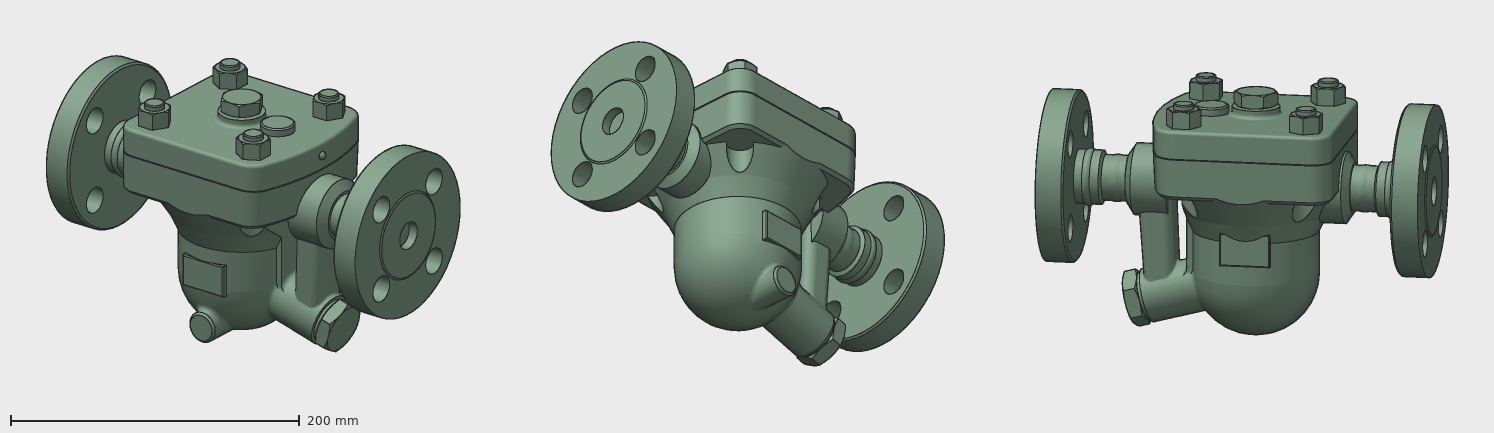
import cadquery as cq
import math


LENGTH = 271.0
FLANGE_DIA = 120.0
FLANGE_THICK = 19.5
FLANGE_CHAMFER = 1.4
FACE_HEIGHT = 0.8
FACE_DIA = 64.0
FACE_TAPER = 1.4
FLANGE_HOLE_DIA = 19.0
FLANGE_HOLE_OFFSET = 30.0
BORE_DIA = 20.0
BORE_DEPTH = 7.0
HUB_DIA = 38.0
HUB_END_X = 97.8
HUB_CHAMFER_LENGTH = 1.5
HUB_BEAD_DIA = 40.0
HUB_BEAD_X = 106.8
HUB_BEAD_WIDTH = 5.5
PIPE_DIA = 32.0
PIPE_BEAD_DIA = 33.0
PIPE_BEAD_X = 87.3
PIPE_BEAD_WIDTH = 6.5
NOZZLE_DIA = 50.0
NOZZLE_ROOT_X = 49.3
NOZZLE_END_X = 74.3
NOZZLE_TIP_DIA = 35.8
NOZZLE_TIP_X = 79.0

BODY_X = -10.0
BODY_RADIUS = 44.2
DOME_Z = -62.3
SHOULDER_Z = -32.2
CONE_BREAK_Z = -18.7
CONE_BREAK_RADIUS = 50.5
CONE_TOP_Z = 5.5
CONE_TOP_RADIUS = 66.0
SLOT_X_MIN = 36.0
SLOT_TOP_Z = 0.8
SLOT_RADIUS = 2.2
RIB_WIDTH = 29.8
RIB_BOTTOM_Z = -67.8

PLATE_WIDTH = 125.0
PLATE_X_MIN = -72.5
PLATE_X_MAX = 60.0
CROWN_RADIUS = 160.0
CROWN_DRAFT = 1.4
CORNER_RADIUS = 14.4
CROWN_CORNER_RADIUS = 16.5
COVER_TOP_Z = 49.5
GASKET_TOP_Z = 30.0
GASKET_THICK = 0.5
GASKET_INSET = 0.3
PLATE_BOTTOM_Z = 0.8
COVER_ROUND = 2.5
PLATE_CHAMFER = 2.5

STUD_OFFSET = 43.0
STUD_DIA = 14.0
STUD_TOP_Z = 65.5
STUD_CHAMFER = 0.8
NUT_DIA = 24.0
NUT_HEIGHT = 12.2
SCALLOP_DIA = 19.0

COLLAR_DIA = 33.0
COLLAR_TOP_Z = 55.5
COLLAR_BASE_DIA = 39.0
PLUG_NECK_DIA = 20.0
PLUG_DIA = 31.0
PLUG_BOTTOM_Z = 56.5
PLUG_TOP_Z = 66.0
BUTTON_DIA = 24.0
BUTTON_X = 21.5
BUTTON_TOP_Z = 55.3
BUTTON_CHAMFER = 1.0
NIPPLE_RADIUS = 3.0
NIPPLE_Z = 40.5

BRANCH_TILT = 15.0
BRANCH_ANGLE = math.radians(BRANCH_TILT)
BRANCH_DIA = 38.0
BRANCH_LENGTH = 78.9
BRANCH_FILLET = 3.3
WASHER_DIA = 33.0
WASHER_THICK = 2.7
BRANCH_PLUG_DIA = 40.0
BRANCH_PLUG_HEIGHT = 10.3

LEG_X = 60.0
LEG_TILT = 3.2
LEG_TAPER = 0.7
LEG_LENGTH = 72.5
LEG_WIDTH = 23.8
LEG_DEPTH = 32.0
LEG_RADIUS = 6.8
LEG_FILLET = 1.5
LEG_FOOT_Z = -63.7

PAD_WIDTH = 35.5
PAD_HEIGHT = 23.3
PAD_TOP_Z = -42.5
PAD_Y = -44.5
PAD_CHAMFER = 0.8
LUG_DIA = 22.2
LUG_Z = -93.0
LUG_END_Y = -46.3
LUG_CHAMFER = 1.5
LUG_FILLET = 3.3
REAR_PAD_TOP_Z = -25.5
REAR_PAD_Y = 45.0

DIAGONAL = math.sqrt(0.5)


def rod(diameter, z_min, z_max):
    """Round bar along Z."""
    return cq.Workplane("XY").workplane(offset=z_min).circle(diameter / 2).extrude(z_max - z_min)


def hexagon(diameter, height, turned_ends, corner_angle=0.0):
    """Hexagon standing on Z = 0, its corners turned off at the selected ends."""
    prism = cq.Workplane("XY").polygon(6, diameter).extrude(height)
    corner_depth = diameter / 2 * (1 - math.cos(math.pi / 6))
    turned = rod(diameter, 0, height).faces(turned_ends).chamfer(corner_depth / 2, corner_depth)
    return prism.intersect(turned).rotate((0, 0, 0), (0, 0, 1), corner_angle)


def revolve_about_z(profile):
    """Solid of revolution from an open XZ profile that starts and ends on the Z axis."""
    return profile.close().revolve(360, (0, 0, 0), (0, 1, 0))


def pipe_end():
    """Solid pipe run on the +X side, from the nozzle root to the flange face."""
    flange_x = LENGTH / 2 - FACE_HEIGHT
    flange_back_x = flange_x - FLANGE_THICK
    profile = (
        cq.Workplane("XY")
        .moveTo(NOZZLE_ROOT_X, 0)
        .lineTo(NOZZLE_ROOT_X, NOZZLE_DIA / 2)
        .lineTo(NOZZLE_END_X, NOZZLE_DIA / 2)
        .lineTo(NOZZLE_TIP_X, NOZZLE_TIP_DIA / 2)
        .lineTo(NOZZLE_TIP_X, PIPE_DIA / 2)
        .lineTo(PIPE_BEAD_X - PIPE_BEAD_WIDTH / 2, PIPE_DIA / 2)
        .threePointArc(
            (PIPE_BEAD_X, PIPE_BEAD_DIA / 2),
            (PIPE_BEAD_X + PIPE_BEAD_WIDTH / 2, PIPE_DIA / 2),
        )
        .lineTo(HUB_END_X - HUB_CHAMFER_LENGTH, PIPE_DIA / 2)
        .lineTo(HUB_END_X, HUB_DIA / 2)
        .lineTo(HUB_BEAD_X - HUB_BEAD_WIDTH / 2, HUB_DIA / 2)
        .threePointArc(
            (HUB_BEAD_X, HUB_BEAD_DIA / 2),
            (HUB_BEAD_X + HUB_BEAD_WIDTH / 2, HUB_DIA / 2),
        )
        .lineTo(flange_back_x, HUB_DIA / 2)
        .lineTo(flange_back_x, FLANGE_DIA / 2 - FLANGE_CHAMFER)
        .lineTo(flange_back_x + FLANGE_CHAMFER, FLANGE_DIA / 2)
        .lineTo(flange_x, FLANGE_DIA / 2)
        .lineTo(flange_x, FACE_DIA / 2)
        .lineTo(LENGTH / 2, FACE_DIA / 2 - FACE_TAPER)
        .lineTo(LENGTH / 2, 0)
        .close()
    )
    run = profile.revolve(360, (0, 0, 0), (1, 0, 0))
    bolt_holes = (
        cq.Workplane("YZ")
        .workplane(offset=flange_back_x)
        .rect(2 * FLANGE_HOLE_OFFSET, 2 * FLANGE_HOLE_OFFSET, forConstruction=True)
        .vertices()
        .circle(FLANGE_HOLE_DIA / 2)
        .extrude(FLANGE_THICK)
    )
    bore = cq.Workplane("YZ").workplane(offset=LENGTH / 2).circle(BORE_DIA / 2).extrude(-BORE_DEPTH)
    return run.cut(bolt_holes).cut(bore)


def plate(z_min, z_max, inset=0.0, draft=0.0):
    """Slab with one crowned side facing +X, rounded at its four corners."""
    width = PLATE_WIDTH - 2 * inset
    x_min = PLATE_X_MIN + inset
    slab = cq.Workplane("XY").box(2 * CROWN_RADIUS, width, z_max - z_min, centered=(False, True, False))
    slab = slab.translate((x_min, 0, z_min))
    radius = CROWN_RADIUS - inset
    crown = revolve_about_z(
        cq.Workplane("XZ")
        .moveTo(0, z_min)
        .lineTo(radius - draft, z_min)
        .lineTo(radius, z_max)
        .lineTo(0, z_max)
    ).translate((PLATE_X_MAX - CROWN_RADIUS, 0, 0))
    slab = slab.intersect(crown)
    slab = slab.edges("<X and |Z").fillet(CORNER_RADIUS - inset)
    return slab.edges(">Y or <Y").edges("not #Z").edges(">X").fillet(CROWN_CORNER_RADIUS - inset)


def plates():
    """Cover, recessed gasket and the body's own bolting plate."""
    gasket_bottom_z = GASKET_TOP_Z - GASKET_THICK
    cover = plate(GASKET_TOP_Z, COVER_TOP_Z).faces(">Z").edges().fillet(COVER_ROUND)
    gasket = plate(gasket_bottom_z, GASKET_TOP_Z, inset=GASKET_INSET)
    lower = plate(PLATE_BOTTOM_Z, gasket_bottom_z, draft=CROWN_DRAFT)
    lower = lower.faces("<Z").edges().chamfer(PLATE_CHAMFER)
    return lower.union(gasket).union(cover)


def bolt_positions():
    """Centre of each stud and the direction in which its nut's corners point."""
    for side_x in (-1, 1):
        for side_y in (-1, 1):
            corner_angle = 0.0 if side_x == side_y else 30.0
            yield BODY_X + side_x * STUD_OFFSET, side_y * STUD_OFFSET, corner_angle


def bowl():
    """Domed body: cone under the plate, cylinder and hemisphere, scalloped below the studs."""
    shell = revolve_about_z(
        cq.Workplane("XZ")
        .moveTo(0, CONE_TOP_Z)
        .lineTo(CONE_TOP_RADIUS, CONE_TOP_Z)
        .lineTo(CONE_BREAK_RADIUS, CONE_BREAK_Z)
        .lineTo(BODY_RADIUS, SHOULDER_Z)
        .lineTo(BODY_RADIUS, DOME_Z)
        .threePointArc(
            (BODY_RADIUS * DIAGONAL, DOME_Z - BODY_RADIUS * DIAGONAL),
            (0, DOME_Z - BODY_RADIUS),
        )
    ).translate((BODY_X, 0, 0))
    shell = shell.intersect(cq.Workplane("XY").box(LENGTH, PLATE_WIDTH, LENGTH))
    for x, y, _ in bolt_positions():
        shell = shell.cut(rod(SCALLOP_DIA, SHOULDER_Z, PLATE_BOTTOM_Z).translate((x, y, 0)))
    return shell


def rib():
    """Upright rib from the cone down into the branch, facing the slot."""
    height = CONE_BREAK_Z - RIB_BOTTOM_Z
    block = cq.Workplane("XY").box(SLOT_X_MIN - BODY_X, RIB_WIDTH, height, centered=(False, True, False))
    return block.translate((BODY_X, 0, RIB_BOTTOM_Z))


def slot():
    """Gap between the bowl and the outlet nozzle, open on both sides."""
    depth = SLOT_TOP_Z - SHOULDER_Z
    gap = (
        cq.Workplane("XY")
        .box(NOZZLE_ROOT_X - SLOT_X_MIN, LENGTH, depth, centered=(False, True, False))
        .faces(">Z")
        .edges("|Y")
        .fillet(SLOT_RADIUS)
    )
    return gap.translate((SLOT_X_MIN, 0, SHOULDER_Z))


def inlet_nozzle():
    """Inlet nozzle carried on into the bowl."""
    root = cq.Workplane("YZ").workplane(offset=-NOZZLE_END_X).circle(NOZZLE_DIA / 2)
    return root.extrude(NOZZLE_END_X + BODY_X)


def along_branch(solid):
    """Move a solid built along +Z from the origin onto the branch axis."""
    return solid.rotate((0, 0, 0), (0, 1, 0), 90 + BRANCH_TILT).translate((BODY_X, 0, DOME_Z))


def around(center, size_x, size_y, size_z):
    """Selector for edges centred inside a box."""
    half = (size_x / 2, size_y / 2, size_z / 2)
    low = tuple(c - h for c, h in zip(center, half))
    high = tuple(c + h for c, h in zip(center, half))
    return cq.selectors.BoxSelector(low, high)


def branch():
    """Round branch from the dome centre, pointing down toward +X."""
    return along_branch(rod(BRANCH_DIA, 0, BRANCH_LENGTH))


def branch_plug():
    """Washer and hexagon head closing the branch."""
    head_start = BRANCH_LENGTH + WASHER_THICK
    washer = rod(WASHER_DIA, BRANCH_LENGTH, head_start)
    head = hexagon(BRANCH_PLUG_DIA, BRANCH_PLUG_HEIGHT, "<Z or >Z").translate((0, 0, head_start))
    return along_branch(washer.union(head))


def return_leg():
    """Leaning, tapering rounded bar from inside the outlet nozzle down into the branch."""
    bar = (
        cq.Workplane("XY")
        .rect(LEG_WIDTH, LEG_DEPTH)
        .extrude(-LEG_LENGTH, taper=LEG_TAPER)
        .edges("not #Z")
        .fillet(LEG_RADIUS)
    )
    return bar.rotate((0, 0, 0), (0, 1, 0), LEG_TILT).translate((LEG_X, 0, 0))


def pad(top_z, outer_y):
    """Rectangular name plate pad standing out of the bowl to outer_y."""
    block = cq.Workplane("XY").box(PAD_WIDTH, abs(outer_y), PAD_HEIGHT)
    block = block.faces("<Y" if outer_y < 0 else ">Y").chamfer(PAD_CHAMFER)
    return block.translate((BODY_X, outer_y / 2, top_z - PAD_HEIGHT / 2))


def drain_lug():
    """Round lug from the dome toward -Y."""
    lug = cq.Workplane("XZ").circle(LUG_DIA / 2).extrude(-LUG_END_Y)
    return lug.faces("<Y").chamfer(LUG_CHAMFER).translate((BODY_X, 0, LUG_Z))


def nut_and_stud(x, y, corner_angle):
    """Stud end standing up through a hexagon nut on the cover."""
    stud = rod(STUD_DIA, GASKET_TOP_Z, STUD_TOP_Z).faces(">Z").chamfer(STUD_CHAMFER)
    nut = hexagon(NUT_DIA, NUT_HEIGHT, ">Z", corner_angle).translate((0, 0, COVER_TOP_Z))
    return stud.union(nut).translate((x, y, 0))


def cover_plug():
    """Flared collar on the cover with a hexagon plug screwed into it."""
    flare = (COLLAR_BASE_DIA - COLLAR_DIA) / 2
    collar = revolve_about_z(
        cq.Workplane("XZ")
        .moveTo(0, GASKET_TOP_Z)
        .lineTo(COLLAR_BASE_DIA / 2, GASKET_TOP_Z)
        .lineTo(COLLAR_BASE_DIA / 2, COVER_TOP_Z)
        .threePointArc(
            (COLLAR_BASE_DIA / 2 - flare * DIAGONAL, COVER_TOP_Z + flare * (1 - DIAGONAL)),
            (COLLAR_DIA / 2, COVER_TOP_Z + flare),
        )
        .lineTo(COLLAR_DIA / 2, COLLAR_TOP_Z)
        .lineTo(0, COLLAR_TOP_Z)
    )
    neck = rod(PLUG_NECK_DIA, GASKET_TOP_Z, PLUG_TOP_Z)
    head = hexagon(PLUG_DIA, PLUG_TOP_Z - PLUG_BOTTOM_Z, "<Z or >Z").translate((0, 0, PLUG_BOTTOM_Z))
    return collar.union(neck).union(head).translate((BODY_X, 0, 0))


def button():
    """Low round boss on the cover beside the plug."""
    disc = rod(BUTTON_DIA, GASKET_TOP_Z, BUTTON_TOP_Z).faces(">Z").chamfer(BUTTON_CHAMFER)
    return disc.translate((BUTTON_X, 0, 0))


def nipple():
    """Small round pip on the middle of the cover's crowned side."""
    return cq.Workplane("XY").sphere(NIPPLE_RADIUS).translate((PLATE_X_MAX, 0, NIPPLE_Z))


casting = bowl().cut(slot()).union(drain_lug())
lug_root = cq.NearestToPointSelector((BODY_X, -BODY_RADIUS * DIAGONAL, LUG_Z))
casting = casting.edges(lug_root).fillet(LUG_FILLET)

casting = casting.union(rib()).union(branch())
root_distance = math.sqrt(BODY_RADIUS**2 - (BRANCH_DIA / 2) ** 2)
root_x = BODY_X + root_distance * math.cos(BRANCH_ANGLE)
root_z = DOME_Z - root_distance * math.sin(BRANCH_ANGLE)
branch_root = around((root_x, 0, root_z), BRANCH_DIA / 2, BRANCH_DIA, BRANCH_DIA)
casting = casting.edges(branch_root).fillet(BRANCH_FILLET)

casting = casting.union(return_leg())
foot_x = LEG_X + LEG_FOOT_Z * math.tan(math.radians(LEG_TILT))
leg_foot = around((foot_x, 0, LEG_FOOT_Z), LEG_DEPTH, LEG_DEPTH, LEG_WIDTH / 2)
casting = casting.edges(leg_foot).fillet(LEG_FILLET)

casting = casting.union(pad(PAD_TOP_Z, PAD_Y)).union(pad(REAR_PAD_TOP_Z, REAR_PAD_Y))

outlet = pipe_end()
inlet = outlet.mirror("YZ").union(inlet_nozzle())
result = casting.union(inlet).union(outlet).union(plates())
for x, y, corner_angle in bolt_positions():
    result = result.union(nut_and_stud(x, y, corner_angle))
result = result.union(cover_plug()).union(button()).union(nipple()).union(branch_plug())